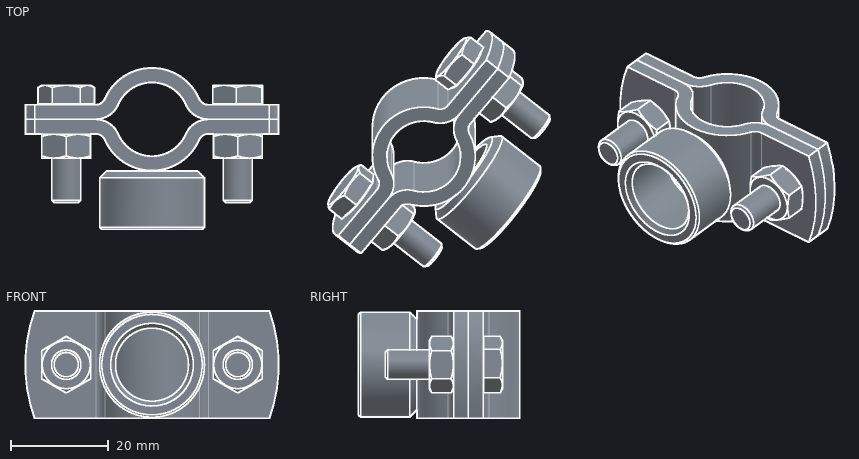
import cadquery as cq
import math


clamp_length = 51.85
clamp_height = 22.0
strap_thickness = 3.0
pipe_radius = 7.5
bend_radius = 1.95
flange_corner_x = 24.0

strap_outer_radius = pipe_radius + strap_thickness
bend_outer_radius = bend_radius + strap_thickness
bend_center_x = math.sqrt((pipe_radius + bend_outer_radius) ** 2 - bend_outer_radius ** 2)
bend_angle = math.atan2(bend_outer_radius, bend_center_x)

bolt_x = 17.5
shank_radius = 3.0
bolt_tip_y = -17.0
tip_chamfer = 0.5
head_height = 4.0
washer_face_height = 0.15
head_turns = {-bolt_x: 0.0, bolt_x: 32.7}

nut_height = 5.0

across_flats = 10.0
hex_corner_radius = across_flats / math.sqrt(3)
hex_face_diameter = 9.8
hex_face_radius = hex_face_diameter / 2
hex_chamfer_angle = 30
hex_chamfer = (hex_corner_radius - hex_face_radius) * math.tan(math.radians(hex_chamfer_angle))

socket_back_y = -strap_outer_radius
socket_front_y = -22.5
socket_radius = 10.75
socket_bore_radius = 7.45
mouth_chamfer = 1.0
rim_chamfer = 0.45
back_chamfer = 1.45


def polar(radius, angle):
    return radius * math.cos(angle), radius * math.sin(angle)


def mirrored(point):
    return -point[0], point[1]


def bend_point(radius, angle):
    """Point on a bend arc; the angle is measured from the flange side of the bend."""
    return bend_center_x - radius * math.sin(angle), bend_outer_radius - radius * math.cos(angle)


def make_clamp_half(side):
    """Bent strap on the +Y (side = 1) or -Y (side = -1) half, with rounded flange ends."""
    half_length = clamp_length / 2
    half_height = clamp_height / 2
    sweep = math.pi / 2 - bend_angle
    ring_inner_end = polar(pipe_radius, bend_angle)
    ring_outer_end = polar(strap_outer_radius, bend_angle)
    inner_bend_middle = bend_point(bend_outer_radius, sweep / 2)
    outer_bend_middle = bend_point(bend_radius, sweep / 2)
    inner_bend_start = (bend_center_x, 0)
    outer_bend_start = (bend_center_x, strap_thickness)

    strap = (
        cq.Workplane("XY")
        .moveTo(half_length, 0)
        .lineTo(*inner_bend_start)
        .threePointArc(inner_bend_middle, ring_inner_end)
        .threePointArc((0, pipe_radius), mirrored(ring_inner_end))
        .threePointArc(mirrored(inner_bend_middle), mirrored(inner_bend_start))
        .lineTo(-half_length, 0)
        .lineTo(-half_length, strap_thickness)
        .lineTo(*mirrored(outer_bend_start))
        .threePointArc(mirrored(outer_bend_middle), mirrored(ring_outer_end))
        .threePointArc((0, strap_outer_radius), ring_outer_end)
        .threePointArc(outer_bend_middle, outer_bend_start)
        .lineTo(half_length, strap_thickness)
        .close()
        .extrude(half_height, both=True)
    )

    flange_outline = (
        cq.Workplane("XZ")
        .moveTo(-flange_corner_x, -half_height)
        .lineTo(flange_corner_x, -half_height)
        .threePointArc((half_length, 0), (flange_corner_x, half_height))
        .lineTo(-flange_corner_x, half_height)
        .threePointArc((-half_length, 0), (-flange_corner_x, -half_height))
        .close()
        .extrude(strap_outer_radius, both=True)
    )
    half = strap.intersect(flange_outline)

    for x in (-bolt_x, bolt_x):
        half = half.cut(y_cylinder(x, shank_radius, 0, strap_thickness))
    return half if side > 0 else half.mirror("XZ")


def y_cylinder(x, radius, y_start, y_end):
    """Cylinder along Y between two Y positions, centred on Z = 0."""
    return (
        cq.Workplane("XZ", origin=(x, y_start, 0))
        .circle(radius)
        .extrude(y_start - y_end)
    )


def turned_about_y(profile):
    """Solid of revolution about the Y axis from (radius, y) points."""
    return cq.Workplane("XY").polyline(profile).close().revolve(360, (0, 0, 0), (0, 1, 0))


def make_hexagon(y_low, y_high, low_end_chamfered):
    """Hexagonal prism along Y with corners on the X axis; the +Y end is always chamfered."""
    prism = (
        cq.Workplane("XZ", origin=(0, y_high, 0))
        .polygon(6, 2 * hex_corner_radius)
        .extrude(y_high - y_low)
    )
    if low_end_chamfered:
        low_end = [(hex_face_radius, y_low), (hex_corner_radius, y_low + hex_chamfer)]
    else:
        low_end = [(hex_corner_radius, y_low)]
    high_end = [(hex_corner_radius, y_high - hex_chamfer), (hex_face_radius, y_high)]
    envelope = turned_about_y([(0, y_low), *low_end, *high_end, (0, y_high)])
    return prism.intersect(envelope)


def make_bolt(x, turn):
    """Hex bolt with its head on the +Y side; turn is the head rotation in degrees."""
    seat_y = strap_thickness
    head_base_y = seat_y + washer_face_height
    head = make_hexagon(head_base_y, seat_y + head_height, low_end_chamfered=False)
    washer_face = y_cylinder(0, hex_face_radius, seat_y, head_base_y)
    shank = y_cylinder(0, shank_radius, bolt_tip_y, seat_y).faces("<Y").chamfer(tip_chamfer)
    bolt = head.union(washer_face).union(shank)
    return bolt.rotate((0, 0, 0), (0, 1, 0), -turn).translate((x, 0, 0))


def make_nut(x):
    """Hex nut against the -Y clamp half, with corners pointing up and down."""
    seat_y = -strap_thickness
    outer_y = seat_y - nut_height
    nut = make_hexagon(outer_y, seat_y, low_end_chamfered=True)
    nut = nut.cut(y_cylinder(0, shank_radius, outer_y, seat_y))
    return nut.rotate((0, 0, 0), (0, 1, 0), 90).translate((x, 0, 0))


def make_socket():
    """Open pipe socket along Y that rests against the -Y clamp half."""
    return turned_about_y([
        (socket_bore_radius, socket_back_y),
        (socket_radius - back_chamfer, socket_back_y),
        (socket_radius, socket_back_y - back_chamfer),
        (socket_radius, socket_front_y + rim_chamfer),
        (socket_radius - rim_chamfer, socket_front_y),
        (socket_bore_radius + mouth_chamfer, socket_front_y),
        (socket_bore_radius, socket_front_y + mouth_chamfer),
    ])


clamp_halves = [make_clamp_half(side) for side in (1, -1)]
bolts = [make_bolt(x, turn) for x, turn in head_turns.items()]
nuts = [make_nut(x) for x in (-bolt_x, bolt_x)]
socket = make_socket()

bodies = [*clamp_halves, *bolts, *nuts, socket]
result = cq.Compound.makeCompound([body.val() for body in bodies])